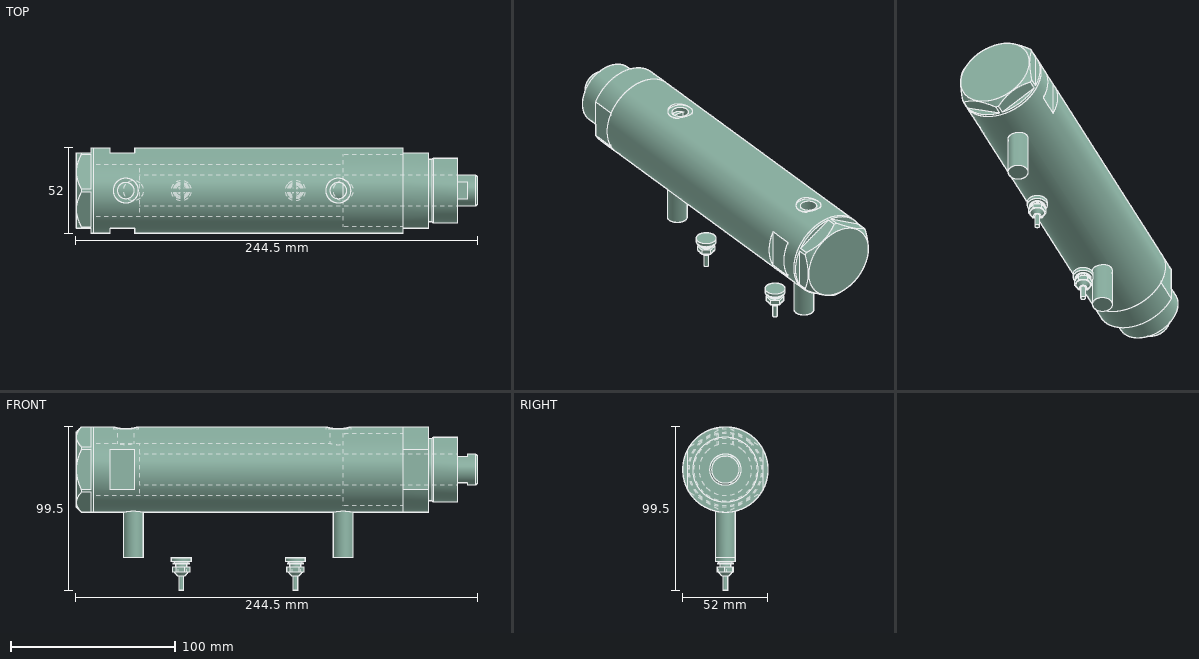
import cadquery as cq
import math

length = 244.5
overall_height = 99.5
barrel_diameter = 52.0
barrel_radius = barrel_diameter / 2
flats_width = 46.0

hex_length = 9.0
flange_length = 1.7
barrel_start = hex_length + flange_length
slot_start = 20.8
slot_length = 15.0
cap_spigot_end = 38.5
head_spigot_start = 162.3
barrel_end = 199.0
shoulder_end = 214.5
groove_end = 216.5
thread_start = 217.5
head_end = 232.2
rod_flats_end = 238.0

cutter_size = 3 * barrel_radius

hex_face_radius = 22.7
hex_chamfer = barrel_radius - hex_face_radius

bore_radius = 16.0
head_spigot_radius = 22.0

port_positions = (30.3, 159.5)
port_diameter = 10.0
port_radius = port_diameter / 2
seat_radius = 7.5
seat_depth = 1.2

post_positions = (35.0, 162.5)
post_radius = 6.0
post_bottom = -53.5

thread_radius = 19.8
groove_radius = 19.0
rod_radius = 9.5
rod_flats_width = 16.1
rod_chamfer = 1.2

plug_positions = (64.0, 133.5)
plug_top = post_bottom
plug_bottom = barrel_radius - overall_height
plug_head_radius = 6.0
plug_head_depth = 2.5
collar_radius = 4.2
rim_radius = 5.0
rim_top_depth = 3.5
rim_bottom_depth = 4.0
neck_radius = 3.5
nut_top_depth = 5.5
nut_bottom_depth = 8.8
nut_corner_radius = 5.4
nut_turn = -7.0
cone_top_radius = 4.5
cone_bottom_depth = 11.2
cone_bottom_radius = 2.2
stem_radius = 1.5


def turned(profile):
    """Revolve (x, radius) points about the X axis."""
    return cq.Workplane("XZ").polyline(profile).close().revolve(360, (0, 0, 0), (1, 0, 0))


def cylinder_x(radius, start, end):
    return turned([(start, 0), (start, radius), (end, radius), (end, 0)])


def cylinder_z(x, radius, bottom, top):
    return cq.Workplane("XY", origin=(x, 0, bottom)).circle(radius).extrude(top - bottom)


def slab(start, end, size_y, size_z):
    """Box centred on the X axis, running from start to end."""
    return cq.Workplane("XY").box(end - start, size_y, size_z).translate(((start + end) / 2, 0, 0))


def cut_side_flats(body, start, end):
    """Cut two flats facing -Y and +Y."""
    outside = slab(start, end, cutter_size, cutter_size)
    return body.cut(outside.cut(slab(start, end, flats_width, cutter_size)))


def make_cap():
    """Hexagonal cap with a flange and a spigot that fills the end of the bore."""
    hexagon = (
        cq.Workplane("YZ")
        .polygon(6, flats_width / math.cos(math.pi / 6))
        .extrude(hex_length)
        .rotate((0, 0, 0), (1, 0, 0), 90)
    )
    chamfered_blank = turned([
        (0, 0),
        (0, hex_face_radius),
        (hex_chamfer, barrel_radius),
        (hex_length, barrel_radius),
        (hex_length, 0),
    ])
    flange_and_spigot = turned([
        (hex_length, 0),
        (hex_length, barrel_radius),
        (barrel_start, barrel_radius),
        (barrel_start, bore_radius),
        (cap_spigot_end, bore_radius),
        (cap_spigot_end, 0),
    ]).rotate((0, 0, 0), (1, 0, 0), 90)
    return hexagon.intersect(chamfered_blank).union(flange_and_spigot)


def make_barrel():
    """Tube with wrench flats, two posts below and two spot-faced ports on top."""
    body = cylinder_x(barrel_radius, barrel_start, barrel_end)
    body = cut_side_flats(body, slot_start, slot_start + slot_length)
    for x in post_positions:
        body = body.union(cylinder_z(x, post_radius, post_bottom, 0))
    for x in port_positions:
        seat = cylinder_z(x, seat_radius, barrel_radius - seat_depth, cutter_size)
        port = cylinder_z(x, port_radius, 0, cutter_size)
        body = body.cut(seat).cut(port)
    body = body.cut(cylinder_x(bore_radius, barrel_start, head_spigot_start))
    return body.cut(cylinder_x(head_spigot_radius, head_spigot_start, barrel_end))


def make_head():
    """Rod-end head: spigot inside the barrel, shoulder with flats, groove and threaded end."""
    body = turned([
        (head_spigot_start, rod_radius),
        (head_spigot_start, head_spigot_radius),
        (barrel_end, head_spigot_radius),
        (barrel_end, barrel_radius),
        (shoulder_end, barrel_radius),
        (shoulder_end, groove_radius),
        (groove_end, groove_radius),
        (thread_start, thread_radius),
        (head_end, thread_radius),
        (head_end, rod_radius),
    ])
    return cut_side_flats(body, barrel_end, shoulder_end)


def make_rod():
    """Rod from the cap's spigot to the outer end, with two flats facing -Z and +Z."""
    body = turned([
        (cap_spigot_end, 0),
        (cap_spigot_end, rod_radius),
        (length - rod_chamfer, rod_radius),
        (length, rod_radius - rod_chamfer),
        (length, 0),
    ])
    outside = slab(head_end, rod_flats_end, cutter_size, cutter_size)
    return body.cut(outside.cut(slab(head_end, rod_flats_end, cutter_size, rod_flats_width)))


def make_plug(x):
    """Round-headed plug with a rim, a hexagonal nut, a cone and a thin stem."""
    stem_depth = plug_top - plug_bottom
    turned_part = (
        cq.Workplane("XZ")
        .polyline([
            (0, 0),
            (plug_head_radius, 0),
            (plug_head_radius, -plug_head_depth),
            (collar_radius, -plug_head_depth),
            (collar_radius, -rim_top_depth),
            (rim_radius, -rim_top_depth),
            (rim_radius, -rim_bottom_depth),
            (neck_radius, -rim_bottom_depth),
            (neck_radius, -nut_bottom_depth),
            (cone_top_radius, -nut_bottom_depth),
            (cone_bottom_radius, -cone_bottom_depth),
            (stem_radius, -cone_bottom_depth),
            (stem_radius, -stem_depth),
            (0, -stem_depth),
        ])
        .close()
        .revolve(360, (0, 0, 0), (0, 1, 0))
    )
    nut = (
        cq.Workplane("XY", origin=(0, 0, -nut_bottom_depth))
        .polygon(6, 2 * nut_corner_radius)
        .extrude(nut_bottom_depth - nut_top_depth)
        .rotate((0, 0, 0), (0, 0, 1), nut_turn)
    )
    return turned_part.union(nut).translate((x, 0, plug_top))


cap = make_cap()
barrel = make_barrel()
head = make_head()
rod = make_rod()
plugs = [make_plug(x) for x in plug_positions]

result = cq.Compound.makeCompound(
    [cap.val(), barrel.val(), head.val(), rod.val()] + [plug.val() for plug in plugs]
)